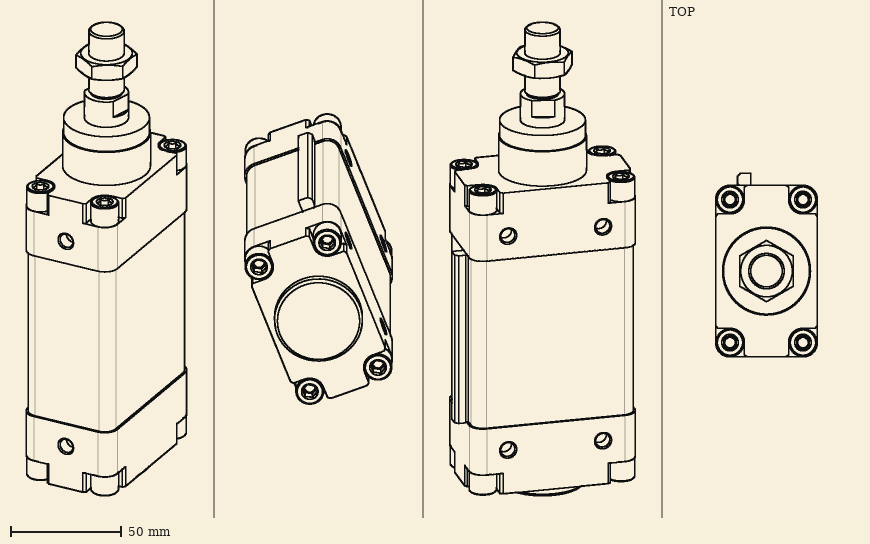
import cadquery as cq
import math

TOTAL_HEIGHT = 220.5

CORNER_RADIUS = 6.5
POST_DIAMETER = 12.5
POST_TIP_DIAMETER = 11.5
POST_SPACING_X = 33.0
POST_SPACING_Y = 64.8
CAP_X = POST_SPACING_X + 2 * CORNER_RADIUS
CAP_Y = POST_SPACING_Y + 2 * CORNER_RADIUS
CAP_HEIGHT = 32.5
POCKET_DEPTH = 10.0
POST_CHAMFER = (POST_DIAMETER - POST_TIP_DIAMETER) / 2
MOUTH_FLARE_ALONG = 1.3
MOUTH_FLARE_DEPTH = 0.9

BARREL_SETBACK = 0.9
BARREL_LENGTH = 81.5
BARREL_X = CAP_X - 2 * BARREL_SETBACK
BARREL_Y = CAP_Y - 2 * BARREL_SETBACK
BARREL_RADIUS = CORNER_RADIUS - BARREL_SETBACK

RAIL_LEFT = -13.2
RAIL_RIGHT = -7.0
RAIL_TOP_Y = CAP_Y / 2 + 5.5
RAIL_CHAMFER = 1.5

BOSS_DIAMETER = 40.0
COLLAR_DIAMETER = 39.0
FOOT_HEIGHT = 4.9
FOOT_CHAMFER = 1.3
BOSS_HEIGHT = 17.0
COLLAR_HEIGHT = 7.5
BOSS_CHAMFER = 0.2

LOWER_CAP_Z = FOOT_HEIGHT
BARREL_Z = LOWER_CAP_Z + CAP_HEIGHT
UPPER_CAP_Z = BARREL_Z + BARREL_LENGTH
BOSS_Z = UPPER_CAP_Z + CAP_HEIGHT
COLLAR_Z = BOSS_Z + BOSS_HEIGHT
ROD_Z = COLLAR_Z + COLLAR_HEIGHT

HOLE_FROM_CAP_END = 21.2
RIM_DIAMETER = 8.0
CORE_DIAMETER = 6.6
RIM_DEPTH = (RIM_DIAMETER - CORE_DIAMETER) / 2
MOUNT_SPACING = 44.5
MOUNT_DEPTH = 6.6
PORT_DEPTH = 6.6
DRILL_POINT_ANGLE = 118.0

SOCKET_RIM_DIAMETER = 7.5
SOCKET_CORNER_DIAMETER = 6.6
SOCKET_PILOT_DIAMETER = 4.9
SOCKET_DEPTH = 5.5

SHANK_DIAMETER = 20.0
SHANK_TOP_Z = 188.5
FLAT_WIDTH = 17.2
FLAT_HEIGHT = 8.0
FLAT_ANGLE = -13.0
THREAD_DIAMETER = 16.0
THREAD_END_DIAMETER = 14.3
THREAD_CHAMFER = (THREAD_DIAMETER - THREAD_END_DIAMETER) / 2
THREAD_RELIEF = 0.5

NUT_WIDTH = 24.0
NUT_HEIGHT = 8.0
NUT_TOP_Z = 208.4
NUT_FACE_DIAMETER = 23.4
NUT_CHAMFER_ANGLE = 20.0

CORNERS = [
    (sx * POST_SPACING_X / 2, sy * POST_SPACING_Y / 2) for sx in (-1, 1) for sy in (-1, 1)
]


def rounded_block(size_x, size_y, height, radius):
    """Upright block with rounded vertical edges, standing on Z = 0."""
    return cq.Workplane("XY").rect(size_x, size_y).extrude(height).edges("|Z").fillet(radius)


def disc(diameter, z, height):
    return cq.Workplane("XY").workplane(offset=z).circle(diameter / 2).extrude(height)


def revolved(points):
    """Solid of revolution about Z from (radius, z) points."""
    return cq.Workplane("XZ").polyline(points).close().revolve(360, (0, 0), (0, 1))


def drill_point(diameter):
    return diameter / 2 / math.tan(math.radians(DRILL_POINT_ANGLE / 2))


def corner_pocket():
    """Pocket around a post in the (+X, +Y) corner, its two mouths flared. Post axis on Z."""
    reach = CORNER_RADIUS
    flare_x = -CORNER_RADIUS - MOUTH_FLARE_ALONG
    flare_start = reach - MOUTH_FLARE_DEPTH
    outline = (
        cq.Workplane("XY")
        .moveTo(reach, reach)
        .lineTo(flare_x, reach)
        .lineTo(-CORNER_RADIUS, flare_start)
        .lineTo(-CORNER_RADIUS, 0)
        .radiusArc((0, -CORNER_RADIUS), -CORNER_RADIUS)
        .lineTo(flare_start, -CORNER_RADIUS)
        .lineTo(reach, flare_x)
        .close()
    )
    return outline.extrude(POCKET_DEPTH)


def socket():
    """Countersunk blind hexagon socket in the end of a post, opening upward at Z = 0."""
    rim_r = SOCKET_RIM_DIAMETER / 2
    pilot_r = SOCKET_PILOT_DIAMETER / 2
    hexagon = (
        cq.Workplane("XY")
        .polygon(6, SOCKET_CORNER_DIAMETER)
        .extrude(-SOCKET_DEPTH)
        .rotate((0, 0, 0), (0, 0, 1), 30)
    )
    round_part = revolved([
        (0, 0),
        (rim_r, 0),
        (pilot_r, pilot_r - rim_r),
        (pilot_r, -SOCKET_DEPTH),
        (0, -SOCKET_DEPTH - drill_point(SOCKET_PILOT_DIAMETER)),
    ])
    return hexagon.union(round_part)


def blind_hole(depth, point_depth):
    """Blind hole with a chamfered rim and a bottom cone, opening upward at Z = 0."""
    rim_r = RIM_DIAMETER / 2
    core_r = CORE_DIAMETER / 2
    return revolved([
        (0, 0),
        (rim_r, 0),
        (core_r, -RIM_DEPTH),
        (core_r, -depth),
        (0, -depth - point_depth),
    ])


def end_cap():
    """Cap with its joint face on Z = 0 and its posts pointing up."""
    cap = rounded_block(CAP_X, CAP_Y, CAP_HEIGHT, CORNER_RADIUS)
    hole_z = CAP_HEIGHT - HOLE_FROM_CAP_END
    pocket = corner_pocket()
    for x, y in CORNERS:
        tool = pocket
        if x < 0:
            tool = tool.mirror("YZ")
        if y < 0:
            tool = tool.mirror("XZ")
        cap = cap.cut(tool.translate((x, y, CAP_HEIGHT - POCKET_DEPTH)))
        post = disc(POST_DIAMETER, 0, POCKET_DEPTH).faces(">Z").chamfer(POST_CHAMFER)
        post = post.cut(socket().translate((0, 0, POCKET_DEPTH)))
        cap = cap.union(post.translate((x, y, CAP_HEIGHT - POCKET_DEPTH)))
    for y in (-MOUNT_SPACING / 2, MOUNT_SPACING / 2):
        hole = blind_hole(MOUNT_DEPTH, drill_point(CORE_DIAMETER)).rotate((0, 0, 0), (0, 1, 0), -90)
        cap = cap.cut(hole.translate((-CAP_X / 2, y, hole_z)))
    port = blind_hole(PORT_DEPTH, 0).rotate((0, 0, 0), (1, 0, 0), 90)
    return cap.cut(port.translate((0, -CAP_Y / 2, hole_z)))


def sensor_rail():
    root_y = BARREL_Y / 2
    return (
        cq.Workplane("XY")
        .moveTo(RAIL_RIGHT, 0.9 * root_y)
        .lineTo(RAIL_RIGHT, RAIL_TOP_Y)
        .lineTo(RAIL_LEFT + RAIL_CHAMFER, RAIL_TOP_Y)
        .lineTo(RAIL_LEFT, RAIL_TOP_Y - RAIL_CHAMFER)
        .lineTo(RAIL_LEFT, root_y + RAIL_CHAMFER)
        .lineTo(RAIL_LEFT + RAIL_CHAMFER, root_y)
        .lineTo(RAIL_LEFT + RAIL_CHAMFER, 0.9 * root_y)
        .close()
        .extrude(BARREL_LENGTH)
    )


def make_housing():
    barrel = rounded_block(BARREL_X, BARREL_Y, BARREL_LENGTH, BARREL_RADIUS).union(sensor_rail())
    upper_cap = end_cap()
    lower_cap = upper_cap.mirror("XY")
    foot = disc(BOSS_DIAMETER, 0, FOOT_HEIGHT).faces("<Z").chamfer(FOOT_CHAMFER)
    boss = disc(BOSS_DIAMETER, BOSS_Z, BOSS_HEIGHT).faces(">Z").chamfer(BOSS_CHAMFER)
    collar = disc(COLLAR_DIAMETER, COLLAR_Z, COLLAR_HEIGHT)
    return (
        barrel.translate((0, 0, BARREL_Z))
        .union(upper_cap.translate((0, 0, UPPER_CAP_Z)))
        .union(lower_cap.translate((0, 0, BARREL_Z)))
        .union(foot)
        .union(boss)
        .union(collar)
    )


def make_rod():
    shank = disc(SHANK_DIAMETER, ROD_Z, SHANK_TOP_Z - ROD_Z)
    flats = (
        cq.Workplane("XY")
        .workplane(offset=SHANK_TOP_Z - FLAT_HEIGHT)
        .rect(2 * SHANK_DIAMETER, 2 * SHANK_DIAMETER)
        .rect(FLAT_WIDTH, 2 * SHANK_DIAMETER)
        .extrude(FLAT_HEIGHT)
        .rotate((0, 0, 0), (0, 0, 1), FLAT_ANGLE)
    )
    relief = disc(THREAD_END_DIAMETER, SHANK_TOP_Z, THREAD_RELIEF)
    thread_z = SHANK_TOP_Z + THREAD_RELIEF
    thread = disc(THREAD_DIAMETER, thread_z, TOTAL_HEIGHT - thread_z)
    thread = thread.faces("<Z or >Z").chamfer(THREAD_CHAMFER)
    return shank.cut(flats).union(relief).union(thread)


def make_nut():
    """Hexagon nut with chamfered corners and two flats facing +X and -X."""
    corner_diameter = NUT_WIDTH / math.cos(math.pi / 6)
    hexagon = (
        cq.Workplane("XY")
        .polygon(6, corner_diameter)
        .extrude(NUT_HEIGHT)
        .rotate((0, 0, 0), (0, 0, 1), 30)
    )
    face_r = NUT_FACE_DIAMETER / 2
    corner_r = corner_diameter / 2
    chamfer_height = (corner_r - face_r) * math.tan(math.radians(NUT_CHAMFER_ANGLE))
    envelope = revolved([
        (0, 0),
        (face_r, 0),
        (corner_r, chamfer_height),
        (corner_r, NUT_HEIGHT - chamfer_height),
        (face_r, NUT_HEIGHT),
        (0, NUT_HEIGHT),
    ])
    bore = disc(THREAD_DIAMETER, 0, NUT_HEIGHT)
    return hexagon.intersect(envelope).cut(bore).translate((0, 0, NUT_TOP_Z - NUT_HEIGHT))


housing = make_housing()
rod = make_rod()
nut = make_nut()

result = cq.Compound.makeCompound([housing.val(), rod.val(), nut.val()])